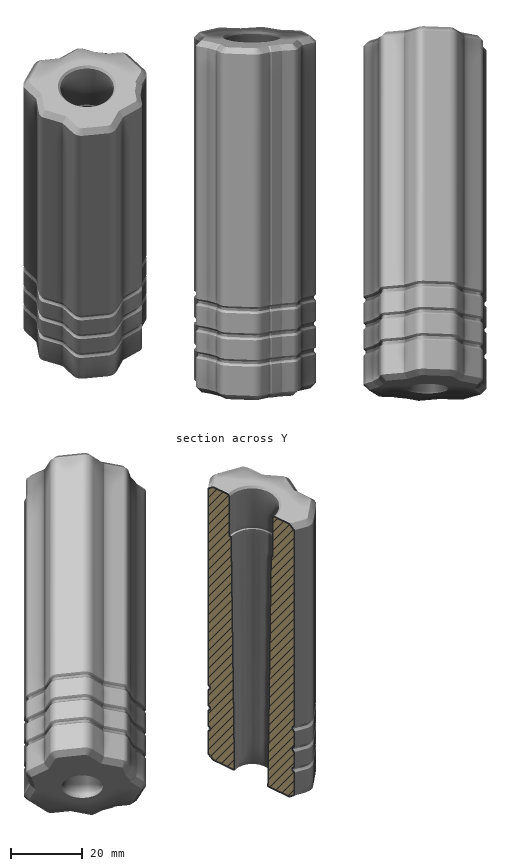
import cadquery as cq
import math

HEIGHT = 100.0

LOBE_APOTHEM = 17.5
FLANK_APOTHEM = 13.3
LOBE_RADIUS = 3.0

HEX_APOTHEM = 14.5
HEX_RADIUS = 2.0

SQUARE_APOTHEM = 13.2
SQUARE_CORNER_APOTHEM = 15.0

END_CHAMFER = 1.5
GROOVE_DEPTH = 0.6
GROOVE_FLOOR_WIDTH = 0.7
GROOVE_PITCH = 7.5
GROOVE_COUNT = 3
FIRST_FLOOR = 10.4

MOUTH_DIAMETER = 16.2
MOUTH_CHAMFER = 0.6
SOCKET_DIAMETER = MOUTH_DIAMETER - 2 * MOUTH_CHAMFER
SOCKET_DEPTH = 15.0
TAPER_TOP_DIAMETER = 13.9
TAPER_BOTTOM_DIAMETER = 11.6

LOBE_COUNT = 3
HEXAGON_SIDES = 6
CUT_SQUARE_SIDES = 8


def prism(sides, even_apothem, odd_apothem, radius, bottom, top):
    """Upright prism whose sides alternate between two apothems, starting with the +Y side."""
    step = 2 * math.pi / sides
    apothems = [even_apothem, odd_apothem] * (sides // 2)
    corners = []
    for i in range(sides):
        here = apothems[i]
        following = apothems[(i + 1) % sides]
        angle = math.pi / 2 + i * step
        along = (following - here * math.cos(step)) / math.sin(step)
        corners.append((
            here * math.cos(angle) - along * math.sin(angle),
            here * math.sin(angle) + along * math.cos(angle),
        ))
    body = cq.Workplane("XY").workplane(offset=bottom).polyline(corners).close().extrude(top - bottom)
    if radius > 0:
        body = body.edges("|Z").fillet(radius)
    return body


def grooved_column(sides, even_apothem, odd_apothem, radius):
    """Full-height column of chamfered lands on a neck that forms the groove floors."""
    neck_radius = max(radius - GROOVE_DEPTH, 0)
    column = prism(
        sides, even_apothem - GROOVE_DEPTH, odd_apothem - GROOVE_DEPTH, neck_radius,
        END_CHAMFER, HEIGHT - END_CHAMFER,
    )
    floor_bottoms = [FIRST_FLOOR + i * GROOVE_PITCH for i in range(GROOVE_COUNT)]
    land_bottoms = [0] + [z + GROOVE_FLOOR_WIDTH for z in floor_bottoms]
    land_tops = floor_bottoms + [HEIGHT]
    for bottom, top in zip(land_bottoms, land_tops):
        land = prism(sides, even_apothem, odd_apothem, radius, bottom, top)
        land = land.faces("<Z").chamfer(END_CHAMFER if bottom == 0 else GROOVE_DEPTH)
        land = land.faces(">Z").chamfer(END_CHAMFER if top == HEIGHT else GROOVE_DEPTH)
        column = column.union(land)
    return column


def make_bore():
    """Stepped bore: chamfered mouth, straight socket, then a slow taper out of the bottom."""
    ledge = HEIGHT - SOCKET_DEPTH
    return (
        cq.Workplane("XZ")
        .moveTo(0, 0)
        .lineTo(TAPER_BOTTOM_DIAMETER / 2, 0)
        .lineTo(TAPER_TOP_DIAMETER / 2, ledge)
        .lineTo(SOCKET_DIAMETER / 2, ledge)
        .lineTo(SOCKET_DIAMETER / 2, HEIGHT - MOUTH_CHAMFER)
        .lineTo(MOUTH_DIAMETER / 2, HEIGHT)
        .lineTo(0, HEIGHT)
        .close()
        .revolve(360, (0, 0, 0), (0, 1, 0))
    )


def make_ribs(handle_column, hex_column):
    """The three hexagon corners that stand between the handle lobes."""
    rib = hex_column.cut(handle_column).solids("<Y")
    return [
        rib.val().rotate(cq.Vector(0, 0, 0), cq.Vector(0, 0, 1), i * 360 / LOBE_COUNT)
        for i in range(LOBE_COUNT)
    ]


def make_webs(handle_column, hex_column):
    """The two thin square corners that fill the valleys beside the +Y lobe."""
    square_column = grooved_column(CUT_SQUARE_SIDES, SQUARE_APOTHEM, SQUARE_CORNER_APOTHEM, 0)
    web = square_column.cut(handle_column).cut(hex_column).solids(">X").val()
    return [web, web.mirror("YZ")]


handle_column = grooved_column(HEXAGON_SIDES, LOBE_APOTHEM, FLANK_APOTHEM, LOBE_RADIUS)
hex_column = grooved_column(HEXAGON_SIDES, HEX_APOTHEM, HEX_APOTHEM, HEX_RADIUS).rotate(
    (0, 0, 0), (0, 0, 1), 180 / HEXAGON_SIDES
)

handle = handle_column.cut(make_bore())
ribs = make_ribs(handle_column, hex_column)
webs = make_webs(handle_column, hex_column)

result = cq.Compound.makeCompound([handle.val(), *ribs, *webs])